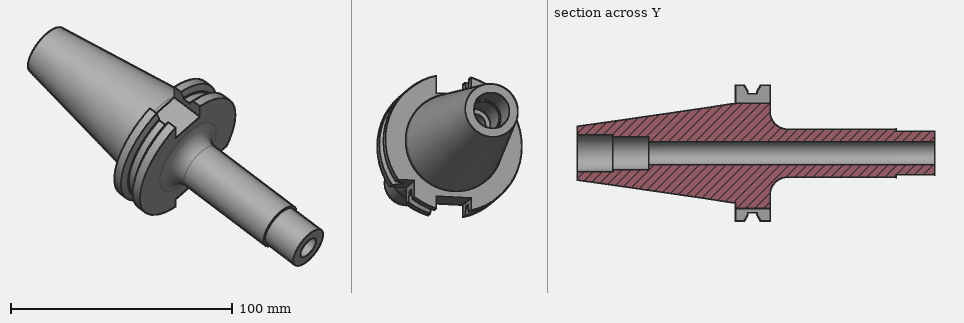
import cadquery as cq
import math

total_length = 161.7
gauge_x = 68.2
collar_x = 69.7
flange_front_x = 71.5
flange_back_x = 87.3
tip_x = 144.2

gauge_diameter = 44.5
gauge_radius = gauge_diameter / 2
taper_slope = 7 / 48
small_end_radius = gauge_radius - gauge_x * taper_slope
collar_radius = gauge_radius + (collar_x - gauge_x) * taper_slope
flange_diameter = 63.5
flange_radius = flange_diameter / 2
neck_radius = 11.0
tip_diameter = 19.9
tip_radius = tip_diameter / 2
neck_fillet = 7.8

groove_center_x = 79.2
groove_mouth_width = 7.3
groove_floor_radius = 28.1
flank_inner_radius = 29.0
flank_angle = math.radians(30)
flank_run = (flange_radius - flank_inner_radius) * math.tan(flank_angle)
mouth_half = groove_mouth_width / 2
floor_half = mouth_half - flank_run

slot_width = 16.2
top_slot_floor = 22.6
bottom_slot_floor = 25.0
notch_corner = 18.3

entry_radius = 8.2
entry_depth = 16.2
middle_radius = 7.5
middle_end_x = 32.3
through_radius = 5.2


def turned_body():
    """Revolve the taper, grooved flange, filleted neck and tip around X."""
    arc_offset = neck_fillet * (1 - math.sqrt(0.5))
    fillet_middle = (flange_back_x + arc_offset, neck_radius + arc_offset)
    profile = (
        cq.Workplane("XY")
        .moveTo(0, 0)
        .lineTo(0, small_end_radius)
        .lineTo(gauge_x, gauge_radius)
        .lineTo(collar_x, collar_radius)
        .lineTo(flange_front_x, collar_radius)
        .lineTo(flange_front_x, flange_radius)
        .lineTo(groove_center_x - mouth_half, flange_radius)
        .lineTo(groove_center_x - floor_half, flank_inner_radius)
        .lineTo(groove_center_x - floor_half, groove_floor_radius)
        .lineTo(groove_center_x + floor_half, groove_floor_radius)
        .lineTo(groove_center_x + floor_half, flank_inner_radius)
        .lineTo(groove_center_x + mouth_half, flange_radius)
        .lineTo(flange_back_x, flange_radius)
        .lineTo(flange_back_x, neck_radius + neck_fillet)
        .threePointArc(fillet_middle, (flange_back_x + neck_fillet, neck_radius))
        .lineTo(tip_x, neck_radius)
        .lineTo(tip_x, tip_radius)
        .lineTo(total_length, tip_radius)
        .lineTo(total_length, 0)
        .close()
    )
    return profile.revolve(360, (0, 0, 0), (1, 0, 0))


def flange_cutter(y_start, y_end, z_start, z_end):
    """Box as long as the flange is thick, spanning the given Y and Z ranges."""
    return (
        cq.Workplane("YZ", origin=(flange_front_x, 0, 0))
        .moveTo(y_start, z_start)
        .lineTo(y_end, z_start)
        .lineTo(y_end, z_end)
        .lineTo(y_start, z_end)
        .close()
        .extrude(flange_back_x - flange_front_x)
    )


def bore(radius, depth):
    """Cylinder on the X axis, starting at the small end."""
    return cq.Workplane("YZ").circle(radius).extrude(depth)


result = turned_body()

slot_half = slot_width / 2
result = result.cut(flange_cutter(-slot_half, slot_half, top_slot_floor, flange_radius))
result = result.cut(flange_cutter(-slot_half, slot_half, -flange_radius, -bottom_slot_floor))

result = result.cut(flange_cutter(notch_corner, flange_radius, -flange_radius, -notch_corner))

result = result.cut(bore(entry_radius, entry_depth))
result = result.cut(bore(middle_radius, middle_end_x))
result = result.cut(bore(through_radius, total_length))